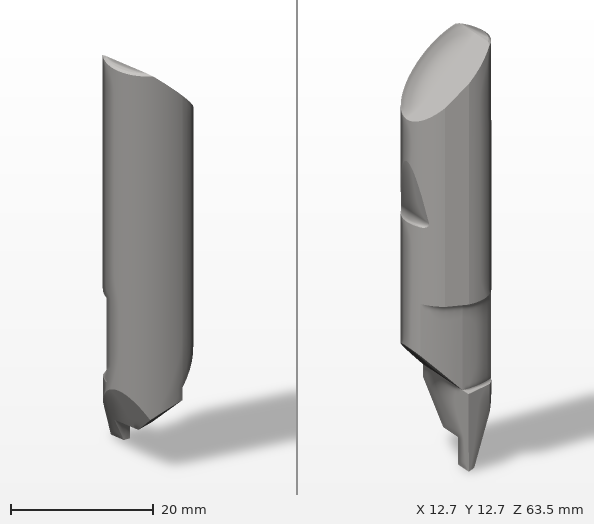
import cadquery as cq
import math

length = 63.5
radius = 6.35
reach = 2 * radius

top_flat_y = -4.6
top_edge_width = 0.4
top_edge_height = 0.25

flat_end_y = 3.3

notch_bottom = 37.0
notch_top = 46.2
notch_floor_y = 4.9
notch_fillet = 0.75

neck_bottom = 11.75
neck_top = 25.4
neck_side_x = -4.6
neck_bulge = 0.4
neck_edge_x = -2.7

front_slope_top = 11.7
tip_depth = 1.15
tip_relief = 0.2
tip_side_top_x = -6.2
tip_side_end_y = -4.45
tip_right_x = -3.35
tip_right_relief = 0.5
tip_right_depth = 4.6
shoulder_height = 4.2
shoulder_end_x = 0.75


def x_prism(points):
    """Extrude a (y, z) outline along X through the shank."""
    return cq.Workplane("YZ").polyline(points).close().extrude(reach, both=True)


def shank():
    """Round bar with a chamfered upper rim."""
    return (
        cq.Workplane("XY").circle(radius).extrude(length)
        .faces(">Z").chamfer(top_edge_height, top_edge_width)
    )


def upper_slope():
    rise = reach - top_flat_y
    return x_prism([(top_flat_y, length), (reach, length - rise), (reach, length)])


def locating_flat():
    end_x = -math.sqrt(radius**2 - flat_end_y**2)
    outline = [(-radius, 0), (end_x, flat_end_y), (-reach, flat_end_y), (-reach, 0)]
    return (
        cq.Workplane("XY").workplane(offset=neck_top)
        .polyline(outline).close().extrude(length - neck_top)
    )


def clamping_notch():
    slope = (notch_top - notch_bottom) / (radius - notch_floor_y)
    outer_z = notch_bottom + slope * (reach - notch_floor_y)
    notch = x_prism([(notch_floor_y, notch_bottom), (reach, notch_bottom), (reach, outer_z)])
    return notch.edges("|X").edges("<Y").fillet(notch_fillet)


def neck():
    """Two shallow arcs that meet in a faint ridge at y = 0."""
    edge_y = math.sqrt(radius**2 - neck_edge_x**2)
    depth = neck_edge_x - neck_side_x
    chord = math.hypot(depth, edge_y)
    arc_x = (neck_side_x + neck_edge_x) / 2 - neck_bulge * edge_y / chord
    arc_y = edge_y / 2 + neck_bulge * depth / chord
    return (
        cq.Workplane("XY").workplane(offset=neck_bottom)
        .moveTo(neck_edge_x, -edge_y)
        .threePointArc((arc_x, -arc_y), (neck_side_x, 0))
        .threePointArc((arc_x, arc_y), (neck_edge_x, edge_y))
        .lineTo(-reach, edge_y).lineTo(-reach, -edge_y).close()
        .extrude(neck_top - neck_bottom)
    )


def rear_half():
    """Space behind the rake face, closed above by a 45 degree slope."""
    return x_prism([(0, 0), (0, neck_bottom), (reach, neck_bottom + reach), (reach, 0)])


def front_slope():
    """Space in front of the tip, with the slight relief under its lower end."""
    return x_prism([
        (0, 0), (-tip_depth, tip_relief), (-radius, front_slope_top), (-reach, front_slope_top), (-reach, 0),
    ])


def tip_side():
    """Slightly twisted relief on the -X side of the tip."""
    end = (-math.sqrt(radius**2 - tip_side_end_y**2), tip_side_end_y)
    outer = [(-reach, tip_side_end_y), (-reach, 0)]
    return (
        cq.Workplane("XY").polyline([(-radius, 0), end] + outer).close()
        .workplane(offset=neck_bottom)
        .polyline([(tip_side_top_x, 0), end] + outer).close()
        .loft(ruled=True)
    )


def tip_right():
    """Space beside the tip: relieved wall, level shoulder and 45 degree slope."""
    relief_rate = tip_right_relief / tip_right_depth
    shoulder = (
        cq.Workplane("XY")
        .polyline([
            (tip_right_x, 0), (reach, 0), (reach, -radius), (tip_right_x - relief_rate * radius, -radius),
        ]).close().extrude(shoulder_height)
    )
    run = reach - shoulder_end_x
    slope = (
        cq.Workplane("XZ")
        .polyline([(shoulder_end_x, shoulder_height), (reach, shoulder_height + run), (reach, shoulder_height)])
        .close().extrude(reach, both=True)
    )
    return shoulder.union(slope)


result = shank()
for cutter in (
    upper_slope(), locating_flat(), clamping_notch(), neck(),
    rear_half(), front_slope(), tip_side(), tip_right(),
):
    result = result.cut(cutter)